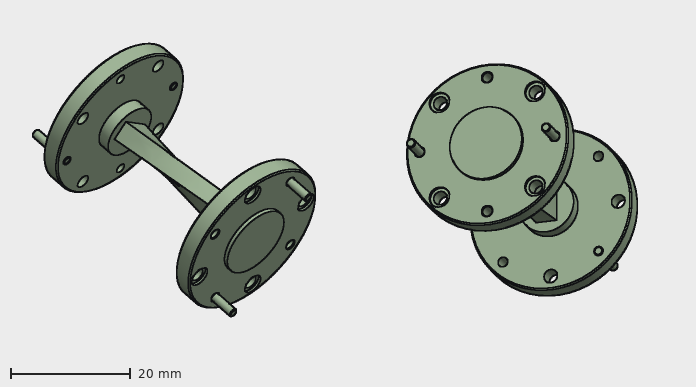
import cadquery as cq
import math

overall_length = 45.85
pin_projection = 4.65
flange_diameter = 28.55
flange_thickness = 3.4
flange_chamfer = 0.25
flange_face_x = overall_length / 2 - pin_projection
flange_back_x = flange_face_x - flange_thickness

boss_diameter = 12.7
boss_height = 0.75
collar_diameter = 9.67
collar_length = 2.3
collar_end_x = flange_back_x - collar_length

waveguide_long_side = 6.0
waveguide_short_side = 3.6
twist_angle = 45.0

bolt_circle_radius = 11.9
screw_hole_diameter = 2.35
counterbore_diameter = 3.55
counterbore_depth = 0.5
pin_diameter = 1.55
pin_chamfer = 0.15
mating_hole_diameter = 1.7
small_hole_chamfer = 0.15

left_pin_angle = 0.0
right_pin_angle = left_pin_angle + twist_angle

mating_hole_offset = 90.0
screw_hole_offset = 45.0


def cylinder_x(diameter, start_x, length, center=(0, 0)):
    """Cylinder along +X whose centre is given as (y, z)."""
    return (
        cq.Workplane("YZ", origin=(start_x, 0, 0))
        .center(*center)
        .circle(diameter / 2)
        .extrude(length)
    )


def spots(first_angle, count):
    """Evenly spaced (y, z) places on the bolt circle."""
    angles = [math.radians(first_angle + i * 360 / count) for i in range(count)]
    return [(bolt_circle_radius * math.cos(a), bolt_circle_radius * math.sin(a)) for a in angles]


def chamfered_hole(diameter, spot):
    """Cutter for a hole through the flange that flares where it meets the mating face."""
    hole = cylinder_x(diameter, flange_back_x, flange_thickness, spot)
    flare = cq.Solid.makeCone(
        diameter / 2,
        diameter / 2 + small_hole_chamfer,
        small_hole_chamfer,
        cq.Vector(flange_face_x - small_hole_chamfer, *spot),
        cq.Vector(1, 0, 0),
    )
    return hole.union(flare)


def make_flange(pin_angle):
    """Flange at the +X end, mating face toward +X."""
    flange = cylinder_x(flange_diameter, flange_back_x, flange_thickness)
    flange = flange.faces("<X or >X").chamfer(flange_chamfer)
    flange = flange.union(cylinder_x(boss_diameter, flange_face_x, boss_height))
    flange = flange.union(cylinder_x(collar_diameter, collar_end_x, collar_length))

    counterbore_x = flange_face_x - counterbore_depth
    for spot in spots(pin_angle, 2):
        flange = flange.cut(chamfered_hole(pin_diameter, spot))
    for spot in spots(pin_angle + mating_hole_offset, 2):
        flange = flange.cut(chamfered_hole(mating_hole_diameter, spot))
    for spot in spots(pin_angle + screw_hole_offset, 4):
        flange = flange.cut(cylinder_x(screw_hole_diameter, flange_back_x, flange_thickness, spot))
        flange = flange.cut(cylinder_x(counterbore_diameter, counterbore_x, counterbore_depth, spot))
    return flange


def make_pin(spot):
    """Pin at the +X end, flush with the flange back and chamfered at both ends."""
    pin = cylinder_x(pin_diameter, flange_back_x, flange_thickness + pin_projection, spot)
    return pin.faces("<X or >X").chamfer(pin_chamfer)


def waveguide_section(x, angle):
    """Closed rectangular wire across X, turned about X by the angle."""
    half_y = waveguide_short_side / 2
    half_z = waveguide_long_side / 2
    corners = [(-half_y, -half_z), (half_y, -half_z), (half_y, half_z), (-half_y, half_z)]
    wire = cq.Wire.makePolygon([cq.Vector(x, y, z) for y, z in corners], close=True)
    return wire.rotate(cq.Vector(0, 0, 0), cq.Vector(1, 0, 0), angle)


def make_waveguide():
    """Bar with straight edges that twists from one collar to the other."""
    left_section = waveguide_section(-collar_end_x, twist_angle)
    right_section = waveguide_section(collar_end_x, 0)
    return cq.Workplane(cq.Solid.makeLoft([left_section, right_section], True))


left_flange = make_flange(left_pin_angle).mirror("YZ")
right_flange = make_flange(right_pin_angle)
housing = make_waveguide().union(left_flange).union(right_flange)

left_pins = [make_pin(spot).mirror("YZ").val() for spot in spots(left_pin_angle, 2)]
right_pins = [make_pin(spot).val() for spot in spots(right_pin_angle, 2)]

result = cq.Compound.makeCompound([housing.val(), *left_pins, *right_pins])